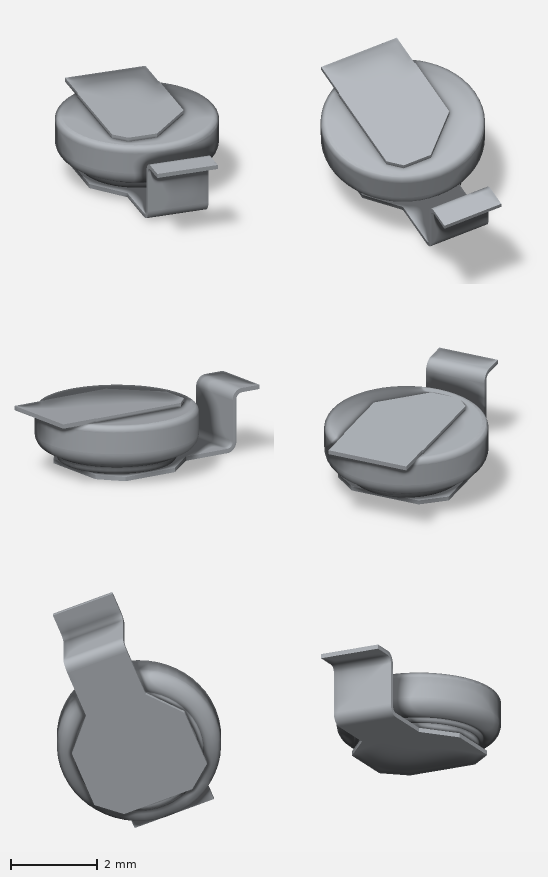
import cadquery as cq
import math

total_height = 1.5
sheet = 0.1

can_diameter = 3.8
can_radius = can_diameter / 2
can_bottom = 0.395
can_top = total_height - sheet
can_top_round = 0.15
can_bottom_round = 0.35
gasket_radius = 1.505
gasket_bottom = 0.295
gasket_round = 0.085
cap_radius = 1.4
cap_round = 0.14

overall_length = 5.7
top_tab_left = -2.195
top_plate_left = -1.295
top_plate_right = 1.4
top_tab_half_width = 0.985
top_plate_half_width = 1.005
top_large_chamfer = 1.005
top_small_chamfer = 0.295

base_left = -1.195
base_half_width = 1.4
base_left_chamfer_x = 0.47
base_left_chamfer_y = 0.555
base_shoulder_start = 0.66
base_shoulder_end = 1.43
strip_half_width = 0.74
strip_right = top_tab_left + overall_length
riser_left = 2.755
bend_inner = 0.15
bend_outer = bend_inner + sheet


def disc(radius, bottom, top):
    return cq.Workplane("XY").workplane(offset=bottom).circle(radius).extrude(top - bottom)


def make_cell():
    can = disc(can_radius, can_bottom, can_top)
    can = can.faces(">Z").edges().fillet(can_top_round)
    can = can.faces("<Z").edges().fillet(can_bottom_round)
    gasket = disc(gasket_radius, gasket_bottom, can_bottom).faces("<Z").edges().fillet(gasket_round)
    cap = disc(cap_radius, sheet, gasket_bottom).faces("<Z").edges().fillet(cap_round)
    return can.union(gasket).union(cap)


def make_top_terminal():
    outline = [
        (top_tab_left, -top_tab_half_width),
        (top_plate_left, -top_tab_half_width),
        (top_plate_left, -top_plate_half_width),
        (top_plate_right - top_small_chamfer, -top_plate_half_width),
        (top_plate_right, -top_plate_half_width + top_small_chamfer),
        (top_plate_right, top_plate_half_width - top_large_chamfer),
        (top_plate_right - top_large_chamfer, top_plate_half_width),
        (top_plate_left, top_plate_half_width),
        (top_plate_left, top_tab_half_width),
        (top_tab_left, top_tab_half_width),
    ]
    return cq.Workplane("XY").workplane(offset=can_top).polyline(outline).close().extrude(sheet)


def make_base_plate():
    lower_edge = [
        (base_left, -base_half_width + base_left_chamfer_y),
        (base_left + base_left_chamfer_x, -base_half_width),
        (base_shoulder_start, -base_half_width),
        (base_shoulder_end, -strip_half_width),
    ]
    upper_edge = [(x, -y) for x, y in reversed(lower_edge)]
    return cq.Workplane("XY").polyline(lower_edge + upper_edge).close().extrude(sheet)


def make_strip():
    riser_right = riser_left + sheet
    low_bend = (riser_left - bend_inner, bend_outer)
    high_bend = (riser_right + bend_inner, total_height - bend_outer)
    diagonal = math.sqrt(0.5)

    def low_mid(radius):
        return (low_bend[0] + radius * diagonal, low_bend[1] - radius * diagonal)

    def high_mid(radius):
        return (high_bend[0] - radius * diagonal, high_bend[1] + radius * diagonal)

    profile = (
        cq.Workplane("XZ")
        .moveTo(base_shoulder_start, 0)
        .lineTo(low_bend[0], 0)
        .threePointArc(low_mid(bend_outer), (riser_right, low_bend[1]))
        .lineTo(riser_right, high_bend[1])
        .threePointArc(high_mid(bend_inner), (high_bend[0], can_top))
        .lineTo(strip_right, can_top)
        .lineTo(strip_right, total_height)
        .lineTo(high_bend[0], total_height)
        .threePointArc(high_mid(bend_outer), (riser_left, high_bend[1]))
        .lineTo(riser_left, low_bend[1])
        .threePointArc(low_mid(bend_inner), (low_bend[0], sheet))
        .lineTo(base_shoulder_start, sheet)
        .close()
    )
    return profile.extrude(strip_half_width, both=True)


result = make_cell().union(make_top_terminal()).union(make_base_plate()).union(make_strip())